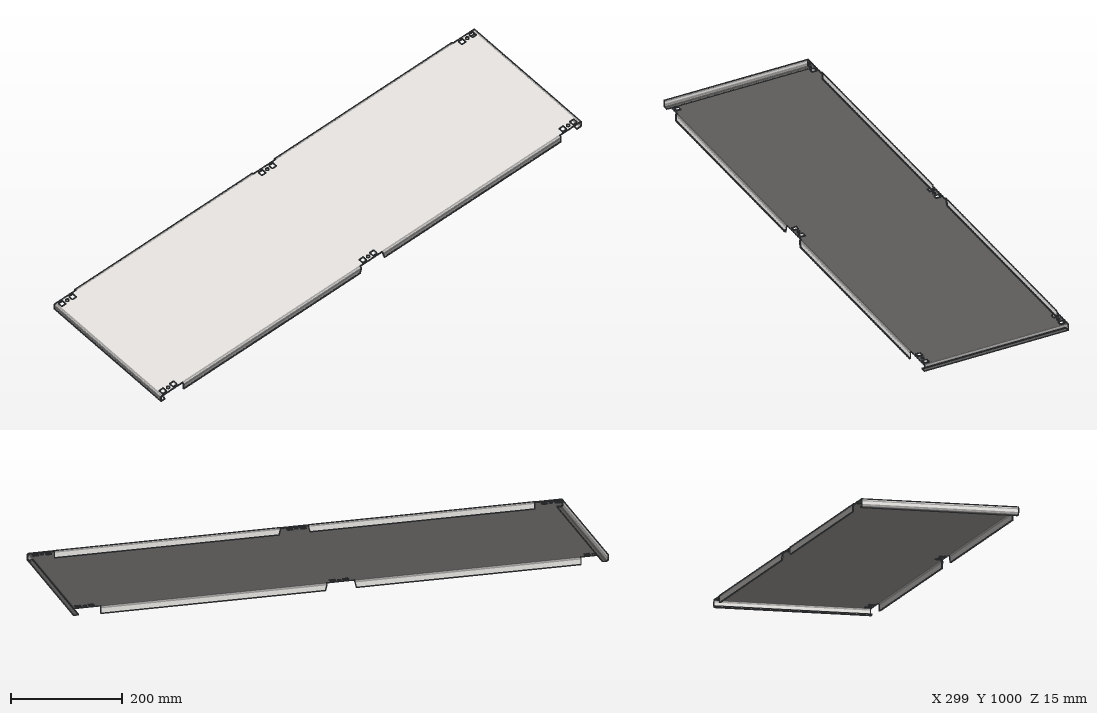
import cadquery as cq
import math

length = 1000.0
width = 299.0
height = 15.0

sheet = 2.0
bend_outer = 4.0
bend_inner = bend_outer - sheet

flat_width = width - 2 * bend_outer

lip_depth = 11.0

side_flange_start = 26.0
side_flange_corner_gap = 52.0
side_flange_end = length / 2 - side_flange_corner_gap
end_taper_run = 3.0
end_taper_rise = height - bend_outer

hole_span = 275.0
square_size = 9.5
round_diameter = 6.0
square_spacing = 25.0
corner_group_inset = 25.0


def rounded_bar(size_y, size_z, radius):
    """Bar along X, as wide as the flat panel, with its long edges rounded."""
    return cq.Workplane("XY").box(flat_width, size_y, size_z).edges("|X").fillet(radius)


def panel_with_hooked_ends():
    """C-shaped sheet, bent down at both ends with lips turned inward."""
    outer = rounded_bar(length, height, bend_outer)
    inner = rounded_bar(length - 2 * sheet, height - 2 * sheet, bend_inner)
    opening = cq.Workplane("XY").box(width, length - 2 * lip_depth, height).translate((0, 0, -sheet))
    return outer.cut(inner).cut(opening).translate((0, 0, -height / 2))


def side_flange():
    """Flange on the +X edge, in the +Y half, bent down from the flat panel."""
    bend_x = flat_width / 2
    outer_x = width / 2
    inner_x = outer_x - sheet
    mid_bend = math.sqrt(0.5)
    flange = (
        cq.Workplane("XZ")
        .moveTo(bend_x, 0)
        .threePointArc(
            (bend_x + bend_outer * mid_bend, -bend_outer * (1 - mid_bend)),
            (outer_x, -bend_outer),
        )
        .lineTo(outer_x, -height)
        .lineTo(inner_x, -height)
        .lineTo(inner_x, -bend_outer)
        .threePointArc(
            (bend_x + bend_inner * mid_bend, -bend_outer + bend_inner * mid_bend),
            (bend_x, -sheet),
        )
        .close()
        .extrude(-(side_flange_end - side_flange_start))
        .translate((0, side_flange_start, 0))
    )
    taper = (
        cq.Workplane("YZ")
        .moveTo(side_flange_start, -height)
        .lineTo(side_flange_start + end_taper_run, -height)
        .lineTo(side_flange_start, -height + end_taper_rise)
        .close()
        .extrude(width)
    )
    return flange.cut(taper)


def hole_group(x, y):
    """Cutters for a row of holes along Y that pierce only the top sheet."""
    squares = (
        cq.Workplane("XY")
        .pushPoints([(x, y - square_spacing / 2), (x, y + square_spacing / 2)])
        .rect(square_size, square_size)
        .extrude(-sheet)
    )
    round_hole = cq.Workplane("XY").center(x, y).circle(round_diameter / 2).extrude(-sheet)
    return squares.union(round_hole)


result = panel_with_hooked_ends()

flange = side_flange()
flange_pair = flange.union(flange.mirror("XZ"))
result = result.union(flange_pair).union(flange_pair.mirror("YZ"))

hole_x = hole_span / 2
corner_y = length / 2 - corner_group_inset
for x in (-hole_x, hole_x):
    for y in (-corner_y, 0, corner_y):
        result = result.cut(hole_group(x, y))